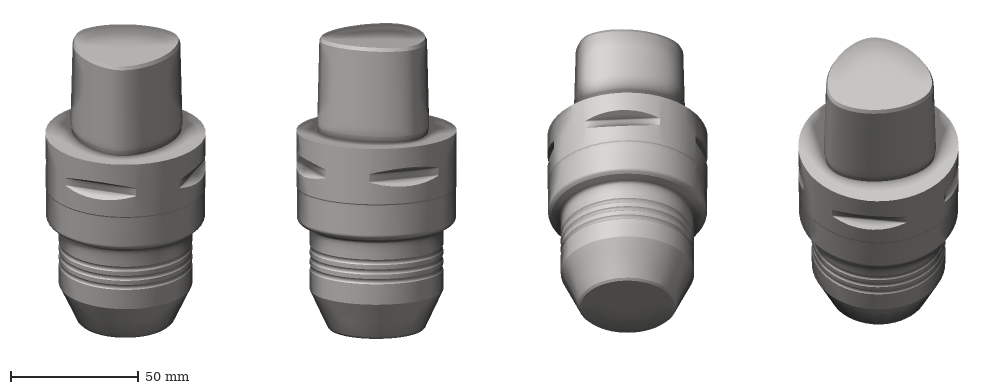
import cadquery as cq
import math

TOTAL_HEIGHT = 118.0
FLANGE_TOP = 80.0
FLANGE_BOTTOM = 57.1
BODY_BOTTOM = 45.0
NECK_TOP = 41.3
NOSE_TOP = 15.7

FLANGE_RADIUS = 63.0 / 2
BODY_RADIUS = 62.5 / 2
NECK_RADIUS = 52.5 / 2
NOSE_RADIUS = 38.7 / 2

FLANGE_CHAMFER_HEIGHT = 0.5
NOSE_CHAMFER = 0.8

EDGE_ROUND = 2.0
EDGE_ANGLE = 45.0
EDGE_CHAMFER = 0.7
NECK_FILLET = 1.0
SELECTION_MARGIN = 0.1

FIRST_RING_CENTER = 25.0
RING_PITCH = 3.9
RING_COUNT = 3
RING_CENTERS = tuple(FIRST_RING_CENTER + i * RING_PITCH for i in range(RING_COUNT))
RING_HALF_WIDTH = 1.1
RING_DEPTH = 0.5

SLOT_CENTER_HEIGHT = 68.1
SLOT_FLOOR_DISTANCE = 27.8
SLOT_FLOOR_HALF_WIDTH = 1.7
SLOT_FLANK_ANGLE = 30.0
SLOT_FLOOR_FILLET = 0.6
SLOT_ANGLES = (45, 135, 225, 315)
CUTTER_OVERLAP = 1.2

SHANK_RADIUS = 44.0 / 2
LOBE_HEIGHT = 1.4
RELIEF_HEIGHT = 2.4
RELIEF_DEPTH = 0.4
SHANK_TAPER = 1 / 20
TIP_CHAMFER_HEIGHT = 1.4
TIP_CHAMFER_DEPTH = 0.7
CURVE_POINTS = 72


def turned_body():
    """Revolve the flange, body, neck and nose as one profile."""
    sin_half = math.sin(math.radians(EDGE_ANGLE / 2))
    cos_half = math.cos(math.radians(EDGE_ANGLE / 2))
    sin_full = math.sin(math.radians(EDGE_ANGLE))
    cos_full = math.cos(math.radians(EDGE_ANGLE))
    arc_center_radius = BODY_RADIUS - EDGE_ROUND
    arc_middle = (arc_center_radius + EDGE_ROUND * cos_half, BODY_BOTTOM - EDGE_ROUND * sin_half)
    arc_end = (arc_center_radius + EDGE_ROUND * cos_full, BODY_BOTTOM - EDGE_ROUND * sin_full)
    profile = (
        cq.Workplane("XZ")
        .moveTo(0, 0)
        .lineTo(NOSE_RADIUS - NOSE_CHAMFER, 0)
        .lineTo(NOSE_RADIUS, NOSE_CHAMFER)
        .lineTo(NECK_RADIUS, NOSE_TOP)
        .lineTo(NECK_RADIUS, NECK_TOP)
        .lineTo(arc_end[0] - EDGE_CHAMFER, arc_end[1] - EDGE_CHAMFER)
        .lineTo(*arc_end)
        .threePointArc(arc_middle, (BODY_RADIUS, BODY_BOTTOM))
        .lineTo(BODY_RADIUS, FLANGE_BOTTOM)
        .lineTo(FLANGE_RADIUS, FLANGE_BOTTOM + FLANGE_CHAMFER_HEIGHT)
        .lineTo(FLANGE_RADIUS, FLANGE_TOP)
        .lineTo(0, FLANGE_TOP)
        .close()
    )
    body = profile.revolve(360, (0, 0, 0), (0, 1, 0))
    inner_corner = cq.selectors.BoxSelector(
        (-FLANGE_RADIUS, -FLANGE_RADIUS, NECK_TOP - SELECTION_MARGIN),
        (FLANGE_RADIUS, FLANGE_RADIUS, NECK_TOP + SELECTION_MARGIN),
    )
    return body.edges(inner_corner).fillet(NECK_FILLET)


def neck_ring(center):
    """Ring of circular-arc section that cuts a shallow groove in the neck."""
    return (
        cq.Workplane("XZ")
        .moveTo(NECK_RADIUS, center - RING_HALF_WIDTH)
        .threePointArc((NECK_RADIUS - RING_DEPTH, center), (NECK_RADIUS, center + RING_HALF_WIDTH))
        .lineTo(FLANGE_RADIUS, center + RING_HALF_WIDTH)
        .lineTo(FLANGE_RADIUS, center - RING_HALF_WIDTH)
        .close()
        .revolve(360, (0, 0, 0), (0, 1, 0))
    )


def gripper_slot(angle):
    """Straight trapezoid cutter with a filleted floor, facing the given direction."""
    outer = FLANGE_RADIUS + CUTTER_OVERLAP
    outer_half_width = SLOT_FLOOR_HALF_WIDTH + (outer - SLOT_FLOOR_DISTANCE) * math.tan(
        math.radians(SLOT_FLANK_ANGLE)
    )
    cutter = (
        cq.Workplane("XZ")
        .polyline(
            [
                (SLOT_FLOOR_DISTANCE, SLOT_CENTER_HEIGHT - SLOT_FLOOR_HALF_WIDTH),
                (outer, SLOT_CENTER_HEIGHT - outer_half_width),
                (outer, SLOT_CENTER_HEIGHT + outer_half_width),
                (SLOT_FLOOR_DISTANCE, SLOT_CENTER_HEIGHT + SLOT_FLOOR_HALF_WIDTH),
            ]
        )
        .close()
        .extrude(FLANGE_RADIUS, both=True)
        .faces("<X")
        .edges("|Y")
        .fillet(SLOT_FLOOR_FILLET)
    )
    return cutter.rotate((0, 0, 0), (0, 0, 1), angle)


def lobed_point(radius, angle):
    """Point of the constant-width three-lobed outline whose normal has the given angle."""
    support = radius - LOBE_HEIGHT * math.sin(3 * angle)
    support_slope = -3 * LOBE_HEIGHT * math.cos(3 * angle)
    return (
        support * math.cos(angle) - support_slope * math.sin(angle),
        support * math.sin(angle) + support_slope * math.cos(angle),
    )


def lobed_outline(radius, height):
    """Closed three-lobed wire at the given height, with one lobe toward +Y."""
    step = 2 * math.pi / CURVE_POINTS
    points = [cq.Vector(*lobed_point(radius, step * i), height) for i in range(CURVE_POINTS)]
    return cq.Wire.assembleEdges([cq.Edge.makeSpline(points, periodic=True)])


def lobed_section(bottom_radius, top_radius, bottom, top):
    """Loft between two lobed outlines."""
    outlines = [lobed_outline(bottom_radius, bottom), lobed_outline(top_radius, top)]
    return cq.Workplane(cq.Solid.makeLoft(outlines, ruled=True))


def shank():
    """Stack the straight relief neck, the tapered lobed shank and its chamfered tip."""
    relief_top = FLANGE_TOP + RELIEF_HEIGHT
    chamfer_start = TOTAL_HEIGHT - TIP_CHAMFER_HEIGHT
    tip_radius = SHANK_RADIUS - (chamfer_start - relief_top) * SHANK_TAPER / 2
    relief_radius = SHANK_RADIUS - RELIEF_DEPTH
    relief = lobed_section(relief_radius, relief_radius, FLANGE_TOP, relief_top)
    taper = lobed_section(SHANK_RADIUS, tip_radius, relief_top, chamfer_start)
    tip = lobed_section(tip_radius, tip_radius - TIP_CHAMFER_DEPTH, chamfer_start, TOTAL_HEIGHT)
    return relief.union(taper).union(tip)


result = turned_body()
for ring_center in RING_CENTERS:
    result = result.cut(neck_ring(ring_center))
for slot_angle in SLOT_ANGLES:
    result = result.cut(gripper_slot(slot_angle))
result = result.union(shank())